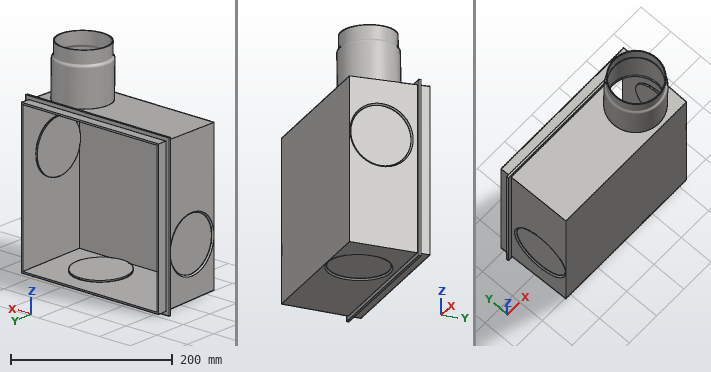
import cadquery as cq
import math

depth = 107.0
back_width = 225.0
draft_angle = 1.0
wall = 2.5

flange_width = 235.0
flange_thickness = 3.0
flange_setback = 14.0

knockout_rim_diameter = 84.0
knockout_floor_diameter = 80.0
knockout_depth = 2.0
knockout_offset = -38.0
knockout_from_front = 42.5
knockout_angles = (90, 180, 270)

part_height = 306.01
spigot_offset = 66.0
spigot_from_front = 44.8
spigot_diameter = 79.0
mouth_diameter = 74.0
mouth_length = 18.7
shoulder_angle = 42.0
outer_bend_radius = 3.0
inner_bend_radius = 1.0
spigot_wall = 1.2

draft_slope = math.tan(math.radians(draft_angle))
draft_cos = math.cos(math.radians(draft_angle))
draft_sin = math.sin(math.radians(draft_angle))
front_width = back_width - 2 * depth * draft_slope
spigot_radius = spigot_diameter / 2
mouth_radius = mouth_diameter / 2


def half_width_at(y):
    """Distance from the box axis to the outside of a side, at depth y."""
    return front_width / 2 + y * draft_slope


def square_frustum(start_y, end_y, inset):
    """Solid filling the drafted box between two depths, set in from its outside."""
    start_size = 2 * (half_width_at(start_y) - inset)
    end_size = 2 * (half_width_at(end_y) - inset)
    return (
        cq.Workplane("XZ", origin=(0, start_y, 0))
        .rect(start_size, start_size)
        .workplane(offset=start_y - end_y)
        .rect(end_size, end_size)
        .loft(combine=True)
    )


def section_plane(offset, from_front):
    """Upright workplane on the top side: x is radius, y is height square to that side."""
    origin = (offset, from_front, half_width_at(from_front))
    return cq.Workplane(cq.Plane(origin, xDir=(1, 0, 0), normal=(0, -draft_cos, -draft_sin)))


def knockout_recess():
    """Tapered recess in the outside of the top side."""
    return (
        section_plane(knockout_offset, knockout_from_front)
        .lineTo(knockout_rim_diameter / 2, 0)
        .lineTo(knockout_floor_diameter / 2, -knockout_depth)
        .lineTo(0, -knockout_depth)
        .close()
        .revolve(360, (0, 0), (0, 1))
    )


def knockout_backing():
    """Disc behind the recess, raised inside the box to keep the wall thickness."""
    return (
        section_plane(knockout_offset, knockout_from_front)
        .lineTo(knockout_floor_diameter / 2, 0)
        .lineTo(knockout_floor_diameter / 2, -knockout_depth - wall)
        .lineTo(0, -knockout_depth - wall)
        .close()
        .revolve(360, (0, 0), (0, 1))
    )


def around_box(shape, angle):
    """Turn a feature of the top side about the box axis onto another side."""
    return shape.rotate((0, 0, 0), (0, 1, 0), angle)


rim_top = part_height - flange_width / 2
spigot_length = (
    rim_top - half_width_at(spigot_from_front) - mouth_radius * draft_sin
) / draft_cos


def spigot_solid(inset, bottom):
    """Stepped pipe set in from its outside: body, cone with a bend at each end, and mouth."""
    body = spigot_radius - inset
    mouth = mouth_radius - inset
    lower_bend = outer_bend_radius - inset
    upper_bend = inner_bend_radius + inset
    slant = math.radians(shoulder_angle)

    lower_x = body - lower_bend
    upper_x = mouth + upper_bend
    upper_y = spigot_length - mouth_length
    bend_gap = lower_bend + upper_bend
    lower_y = upper_y - (bend_gap - (upper_x - lower_x) * math.cos(slant)) / math.sin(slant)

    def lower_point(angle):
        return (lower_x + lower_bend * math.cos(angle), lower_y + lower_bend * math.sin(angle))

    def upper_point(angle):
        return (upper_x - upper_bend * math.cos(angle), upper_y - upper_bend * math.sin(angle))

    return (
        section_plane(spigot_offset, spigot_from_front)
        .moveTo(0, bottom)
        .lineTo(body, bottom)
        .lineTo(*lower_point(0))
        .threePointArc(lower_point(slant / 2), lower_point(slant))
        .lineTo(*upper_point(slant))
        .threePointArc(upper_point(slant / 2), upper_point(0))
        .lineTo(mouth, spigot_length)
        .lineTo(0, spigot_length)
        .close()
        .revolve(360, (0, 0), (0, 1))
    )


def flange():
    """Square plate around the box; its middle is cleared by the box cavity."""
    middle_y = depth - flange_setback - flange_thickness / 2
    plate = cq.Workplane("XY").box(flange_width, flange_thickness, flange_width)
    return plate.translate((0, middle_y, 0))


spigot_root = -wall / 2
bore_bottom = -2 * wall

result = square_frustum(0, depth, 0).union(flange())
result = result.union(spigot_solid(0, spigot_root))
result = result.cut(square_frustum(wall, depth, wall))
result = result.cut(spigot_solid(spigot_wall, bore_bottom))

for side_angle in knockout_angles:
    result = result.union(around_box(knockout_backing(), side_angle))
    result = result.cut(around_box(knockout_recess(), side_angle))